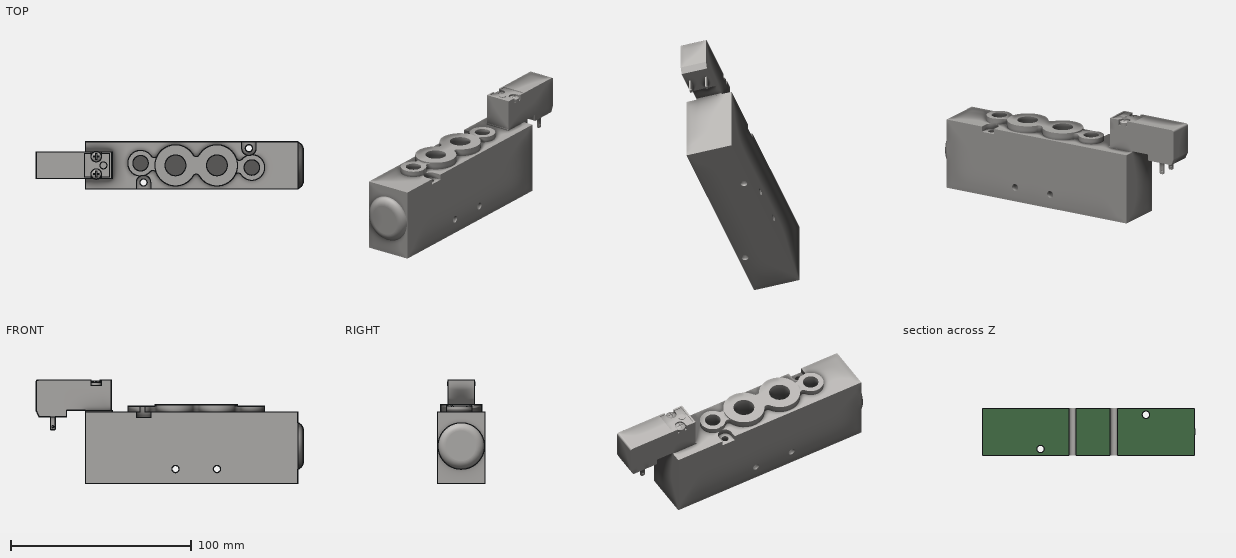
import cadquery as cq
import math


BLOCK_LENGTH = 118.1
BLOCK_WIDTH = 26.5
BLOCK_HEIGHT = 40.0

PORT_CENTRE_X = 61.7
MAIN_PORT_SPACING = 23.0
MAIN_PAD_RADIUS = 11.5
MAIN_PAD_HEIGHT = 4.0
MAIN_PORT_DIAMETER = 11.6
SIDE_PORT_SPACING = 61.8
SIDE_PORT_OFFSET_Y = 1.2
SIDE_PAD_RADIUS = 7.1
SIDE_PAD_HEIGHT = 3.1
SIDE_PORT_DIAMETER = 8.6
NECK_FILLET = 2.0
PORT_DEPTH = 14.9

MOUNT_SPACING = 58.5
MOUNT_OFFSET_Y = 9.5
MOUNT_HOLE_DIAMETER = 3.9
POCKET_RADIUS = 4.0
POCKET_DEPTH = 3.1
CROSS_HOLE_Z = 8.2

CAP_RADIUS = 13.0
CAP_HEIGHT = 3.1
CAP_ROUND_WIDTH = 4.5
CAP_CENTRE_Z = 21.0

TOTAL_HEIGHT = 57.7
SOLENOID_OVERHANG = 27.3
SOLENOID_LENGTH = 41.9
SOLENOID_WIDTH = 14.9
SOLENOID_FOOT_LENGTH = 17.0
SOLENOID_FOOT_DROP = 3.5
FOOT_CHAMFER_LENGTH = 1.6
TOP_EDGE_FILLET = 1.2
SEAL_THICKNESS = 0.7
SEAL_LIP = 0.5

RECESS_START = 27.0
RECESS_LENGTH = 13.8
RECESS_WIDTH = 13.0
RECESS_DEPTH = 0.5
BUTTON_DIAMETER = 3.9
BUTTON_OFFSET = 37.5

SCREW_OFFSET = 33.5
SCREW_SPACING = 9.7
SCREW_HEAD_DIAMETER = 5.8
SCREW_RIM_HEIGHT = 1.8
SCREW_DOME_HEIGHT = 0.9
SCREW_SLOT_DEPTH = 3.1
CROSS_LENGTH = 3.3
CROSS_WIDTH = 0.6
CROSS_DEPTH = 0.6

TERMINAL_OFFSET = 9.4
TERMINAL_SPACING = 9.4
TERMINAL_WIDTH = 2.7
TERMINAL_THICKNESS = 0.9
TERMINAL_LENGTH = 7.3
TERMINAL_HOLE_DIAMETER = 1.0
TERMINAL_HOLE_RISE = 1.8
TERMINAL_CORNER_RADIUS = 0.7

SOLENOID_X = -SOLENOID_OVERHANG
SOLENOID_BASE_Z = BLOCK_HEIGHT + SEAL_THICKNESS
FOOT_Z = SOLENOID_BASE_Z - SOLENOID_FOOT_DROP
SIDES = (-1, 1)


def box_between(x_range, y_range, z_range):
    """Axis-aligned box from its limits along X, Y and Z."""
    (x0, x1), (y0, y1), (z0, z1) = x_range, y_range, z_range
    return cq.Workplane("XY").box(x1 - x0, y1 - y0, z1 - z0, centered=False).translate((x0, y0, z0))


def upright_cylinder(x, y, z, diameter, height):
    """Vertical cylinder standing on height z."""
    return cq.Workplane("XY", origin=(x, y, z)).circle(diameter / 2).extrude(height)


def main_port_x(side):
    return PORT_CENTRE_X + side * MAIN_PORT_SPACING / 2


def side_port_place(side):
    """The side ports lie diagonally opposite each other."""
    return PORT_CENTRE_X + side * SIDE_PORT_SPACING / 2, -side * SIDE_PORT_OFFSET_Y


def mount_place(side):
    return PORT_CENTRE_X + side * MOUNT_SPACING / 2, side * MOUNT_OFFSET_Y


def make_neck(start, start_radius, end, end_radius, height):
    """Waist between two round pads; each flank is one arc tangent to both pads."""
    span_x = end[0] - start[0]
    span_y = end[1] - start[1]
    distance = math.hypot(span_x, span_y)
    start_reach = start_radius + NECK_FILLET
    end_reach = end_radius + NECK_FILLET
    along = (distance**2 + start_reach**2 - end_reach**2) / (2 * distance)
    across = math.sqrt(start_reach**2 - along**2)
    flank_centres = [
        (
            start[0] + (along * span_x - side * across * span_y) / distance,
            start[1] + (along * span_y + side * across * span_x) / distance,
        )
        for side in SIDES
    ]
    neck = (
        cq.Workplane("XY", origin=(0, 0, BLOCK_HEIGHT))
        .polyline([start, flank_centres[0], end, flank_centres[1]])
        .close()
        .extrude(height)
    )
    for x, y in flank_centres:
        neck = neck.cut(upright_cylinder(x, y, BLOCK_HEIGHT, 2 * NECK_FILLET, height))
    return neck


def make_main_pads():
    """Two large round pads joined by a neck."""
    centres = [(main_port_x(side), 0) for side in SIDES]
    pads = make_neck(centres[0], MAIN_PAD_RADIUS, centres[1], MAIN_PAD_RADIUS, MAIN_PAD_HEIGHT)
    for x, y in centres:
        pads = pads.union(upright_cylinder(x, y, BLOCK_HEIGHT, 2 * MAIN_PAD_RADIUS, MAIN_PAD_HEIGHT))
    return pads


def make_side_pad(side):
    """Small round pad whose neck runs into the neighbouring main pad."""
    centre = side_port_place(side)
    main_centre = (main_port_x(side), 0)
    neck = make_neck(centre, SIDE_PAD_RADIUS, main_centre, MAIN_PAD_RADIUS, SIDE_PAD_HEIGHT)
    pad = upright_cylinder(*centre, BLOCK_HEIGHT, 2 * SIDE_PAD_RADIUS, SIDE_PAD_HEIGHT)
    return pad.union(neck)


def make_end_cap():
    """Disc whose rim rounds off in an arc tangent to its flat end."""
    arc_radius = (CAP_HEIGHT**2 + CAP_ROUND_WIDTH**2) / (2 * CAP_HEIGHT)
    flat_radius = CAP_RADIUS - CAP_ROUND_WIDTH
    half_angle = math.asin(CAP_ROUND_WIDTH / arc_radius) / 2
    arc_middle = (
        CAP_HEIGHT - arc_radius * (1 - math.cos(half_angle)),
        flat_radius + arc_radius * math.sin(half_angle),
    )
    return (
        cq.Workplane("XY")
        .lineTo(0, CAP_RADIUS)
        .threePointArc(arc_middle, (CAP_HEIGHT, flat_radius))
        .lineTo(CAP_HEIGHT, 0)
        .close()
        .revolve(360, (0, 0), (1, 0))
        .translate((BLOCK_LENGTH, 0, CAP_CENTRE_Z))
    )


def make_mount_pocket(side):
    """Round-ended pocket open to the block's side, clearing the pad above it."""
    x, y = mount_place(side)
    floor_z = BLOCK_HEIGHT - POCKET_DEPTH
    height = POCKET_DEPTH + MAIN_PAD_HEIGHT
    y_range = sorted((y, side * BLOCK_WIDTH / 2))
    mouth = box_between((x - POCKET_RADIUS, x + POCKET_RADIUS), y_range, (floor_z, floor_z + height))
    return upright_cylinder(x, y, floor_z, 2 * POCKET_RADIUS, height).union(mouth)


def make_port(x, y, diameter):
    """Blind port bored down from the pads into the block."""
    return upright_cylinder(x, y, BLOCK_HEIGHT - PORT_DEPTH, diameter, PORT_DEPTH + MAIN_PAD_HEIGHT)


def make_valve_block():
    block = box_between((0, BLOCK_LENGTH), (-BLOCK_WIDTH / 2, BLOCK_WIDTH / 2), (0, BLOCK_HEIGHT))
    block = block.union(make_end_cap()).union(make_main_pads())
    for side in SIDES:
        block = block.union(make_side_pad(side))
    for side in SIDES:
        mount_x, mount_y = mount_place(side)
        cross_hole = (
            cq.Workplane("XZ", origin=(main_port_x(side), 0, CROSS_HOLE_Z))
            .circle(MOUNT_HOLE_DIAMETER / 2)
            .extrude(BLOCK_WIDTH, both=True)
        )
        block = (
            block.cut(make_mount_pocket(side))
            .cut(upright_cylinder(mount_x, mount_y, 0, MOUNT_HOLE_DIAMETER, BLOCK_HEIGHT))
            .cut(make_port(main_port_x(side), 0, MAIN_PORT_DIAMETER))
            .cut(make_port(*side_port_place(side), SIDE_PORT_DIAMETER))
            .cut(cross_hole)
        )
    return block


def make_seal():
    """Thin plate between block and solenoid, reaching slightly past the solenoid's +X end."""
    seal_end = SOLENOID_X + SOLENOID_LENGTH + SEAL_LIP
    y_range = (-SOLENOID_WIDTH / 2, SOLENOID_WIDTH / 2)
    return box_between((0, seal_end), y_range, (BLOCK_HEIGHT, SOLENOID_BASE_Z))


def make_solenoid_case():
    """Case with a stepped, chamfered foot and one rounded top edge."""
    end_x = SOLENOID_X + SOLENOID_LENGTH
    foot_x = SOLENOID_X + SOLENOID_FOOT_LENGTH
    outline = [
        (SOLENOID_X, TOTAL_HEIGHT),
        (end_x, TOTAL_HEIGHT),
        (end_x, SOLENOID_BASE_Z),
        (foot_x, SOLENOID_BASE_Z),
        (foot_x, FOOT_Z),
        (SOLENOID_X + FOOT_CHAMFER_LENGTH, FOOT_Z),
        (SOLENOID_X, SOLENOID_BASE_Z),
    ]
    case = cq.Workplane("XZ").polyline(outline).close().extrude(SOLENOID_WIDTH / 2, both=True)
    return case.faces("<X").edges(">Z").fillet(TOP_EDGE_FILLET)


def make_top_recess():
    """Recess volume with the button left standing."""
    x = SOLENOID_X + RECESS_START
    floor_z = TOTAL_HEIGHT - RECESS_DEPTH
    y_range = (-RECESS_WIDTH / 2, RECESS_WIDTH / 2)
    recess = box_between((x, x + RECESS_LENGTH), y_range, (floor_z, TOTAL_HEIGHT))
    return recess.cut(upright_cylinder(SOLENOID_X + BUTTON_OFFSET, 0, floor_z, BUTTON_DIAMETER, RECESS_DEPTH))


def make_screw_slot(side):
    """Slot around one screw head, open to the solenoid's side."""
    x = SOLENOID_X + SCREW_OFFSET
    y = side * SCREW_SPACING / 2
    radius = SCREW_HEAD_DIAMETER / 2
    floor_z = TOTAL_HEIGHT - SCREW_SLOT_DEPTH
    y_range = sorted((y, side * SOLENOID_WIDTH / 2))
    mouth = box_between((x - radius, x + radius), y_range, (floor_z, TOTAL_HEIGHT))
    return upright_cylinder(x, y, floor_z, SCREW_HEAD_DIAMETER, SCREW_SLOT_DEPTH).union(mouth)


def make_screw_head(side):
    """Domed head with a cross recess."""
    radius = SCREW_HEAD_DIAMETER / 2
    head_height = SCREW_RIM_HEIGHT + SCREW_DOME_HEIGHT
    sphere_radius = (radius**2 + SCREW_DOME_HEIGHT**2) / (2 * SCREW_DOME_HEIGHT)
    head = (
        cq.Workplane("XZ")
        .lineTo(radius, 0)
        .lineTo(radius, SCREW_RIM_HEIGHT)
        .radiusArc((0, head_height), -sphere_radius)
        .close()
        .revolve(360, (0, 0), (0, 1))
    )
    cross_z = head_height - CROSS_DEPTH
    for angle in (0, 90):
        arm = cq.Workplane("XY", origin=(0, 0, cross_z)).rect(CROSS_LENGTH, CROSS_WIDTH).extrude(CROSS_DEPTH)
        head = head.cut(arm.rotate((0, 0, 0), (0, 0, 1), angle))
    place = (SOLENOID_X + SCREW_OFFSET, side * SCREW_SPACING / 2, TOTAL_HEIGHT - SCREW_SLOT_DEPTH)
    return head.translate(place)


def make_terminal(side):
    """Flat blade with rounded lower corners and a small cross hole."""
    x = SOLENOID_X + TERMINAL_OFFSET
    y = side * TERMINAL_SPACING / 2
    tip_z = FOOT_Z - TERMINAL_LENGTH
    x_range = (x - TERMINAL_WIDTH / 2, x + TERMINAL_WIDTH / 2)
    y_range = (y - TERMINAL_THICKNESS / 2, y + TERMINAL_THICKNESS / 2)
    blade = box_between(x_range, y_range, (tip_z, FOOT_Z))
    blade = blade.faces("<Z").edges("|Y").fillet(TERMINAL_CORNER_RADIUS)
    hole = (
        cq.Workplane("XZ", origin=(x, y, tip_z + TERMINAL_HOLE_RISE))
        .circle(TERMINAL_HOLE_DIAMETER / 2)
        .extrude(TERMINAL_THICKNESS, both=True)
    )
    return blade.cut(hole)


def make_solenoid():
    solenoid = make_solenoid_case().cut(make_top_recess())
    for side in SIDES:
        solenoid = (
            solenoid.cut(make_screw_slot(side))
            .union(make_screw_head(side))
            .union(make_terminal(side))
        )
    return solenoid


valve_block = make_valve_block()
seal = make_seal()
solenoid = make_solenoid()

result = cq.Compound.makeCompound([valve_block.solids().val(), seal.val(), solenoid.solids().val()])